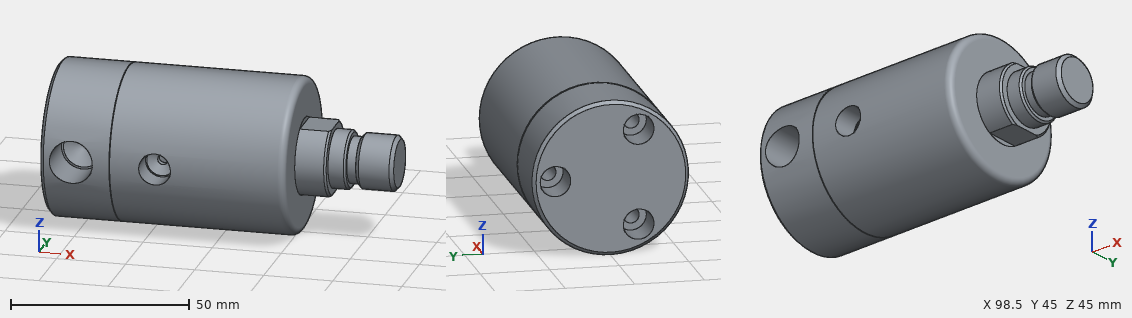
import cadquery as cq
import math

outer_dia = 45.0
outer_radius = outer_dia / 2
cap_length = 20.0
housing_end = 70.9
cap_chamfer = 1.0
joint_chamfer = 0.2
housing_fillet = 2.1

total_length = 98.5
collar_dia = 22.3
collar_end = 79.9
across_flats = 19.4
shoulder_dia = 16.9
shoulder_end = 84.9
step_chamfer = 0.6
neck_dia = 13.5
neck_end = 87.5
thread_dia = 16.0
thread_chamfer = 1.1

screw_count = 3
screw_circle_radius = 16.0
screw_dia = 4.6
screw_head_dia = 8.8
screw_head_depth = 9.85

drill_point_angle = 118.0
cap_port_x = 9.0
cap_port_dia = 12.4
cap_port_depth = 13.8
cap_port_point_dia = 11.2
housing_port_x = 33.2
housing_port_dia = 9.2
housing_port_depth = 7.9
housing_port_point_dia = 8.5
pilot_dia = 3.0


def cylinder_x(start, end, diameter):
    """Cylinder on the X axis between two X positions."""
    return cq.Workplane("YZ", origin=(start, 0, 0)).circle(diameter / 2).extrude(end - start)


def drilled_port(x, diameter, depth, point_dia):
    """Cutter for a port along Y: straight bore, then a slightly narrower conical drill point."""
    radius = diameter / 2
    point_radius = point_dia / 2
    bottom_y = -outer_radius + depth
    point_length = point_radius / math.tan(math.radians(drill_point_angle / 2))
    profile = [
        (0, -outer_radius),
        (radius, -outer_radius),
        (radius, bottom_y),
        (point_radius, bottom_y),
        (0, bottom_y + point_length),
    ]
    cutter = cq.Workplane("XY").polyline(profile).close().revolve(360, (0, 0, 0), (0, 1, 0))
    return cutter.translate((x, 0, 0))


def make_cap():
    cap = cylinder_x(0, cap_length, outer_dia)
    cap = cap.faces("<X").chamfer(cap_chamfer)
    for i in range(screw_count):
        angle = 2 * math.pi * i / screw_count
        centre = (0, screw_circle_radius * math.cos(angle), screw_circle_radius * math.sin(angle))
        cap = cap.cut(cylinder_x(0, screw_head_depth, screw_head_dia).translate(centre))
        cap = cap.cut(cylinder_x(0, cap_length, screw_dia).translate(centre))
    return cap.cut(drilled_port(cap_port_x, cap_port_dia, cap_port_depth, cap_port_point_dia))


def make_housing():
    housing = cylinder_x(cap_length, housing_end, outer_dia)
    housing = housing.faces("<X").chamfer(joint_chamfer)
    housing = housing.faces(">X").edges().fillet(housing_fillet)
    housing = housing.cut(cylinder_x(cap_length, housing_end, collar_dia))
    port = drilled_port(housing_port_x, housing_port_dia, housing_port_depth, housing_port_point_dia)
    pilot = (
        cq.Workplane("XZ", origin=(housing_port_x, 0, 0))
        .circle(pilot_dia / 2)
        .extrude(outer_radius)
    )
    return housing.cut(port).cut(pilot)


def make_shaft():
    collar = cylinder_x(cap_length, collar_end, collar_dia).faces(">X").chamfer(step_chamfer)
    flats_length = collar_end - housing_end
    flats_centre = (housing_end + collar_end) / 2
    flats_zone = cq.Workplane("XY").box(flats_length, collar_dia, collar_dia)
    flats_core = cq.Workplane("XY").box(flats_length, collar_dia, across_flats)
    collar = collar.cut(flats_zone.cut(flats_core).translate((flats_centre, 0, 0)))

    shoulder = cylinder_x(collar_end, shoulder_end, shoulder_dia).faces(">X").chamfer(step_chamfer)
    neck = cylinder_x(shoulder_end, neck_end, neck_dia)
    thread = cylinder_x(neck_end, total_length, thread_dia).faces("<X or >X").chamfer(thread_chamfer)
    return collar.union(shoulder).union(neck).union(thread)


cap = make_cap()
housing = make_housing()
shaft = make_shaft()

result = cq.Compound.makeCompound([cap.val(), housing.val(), shaft.val()])